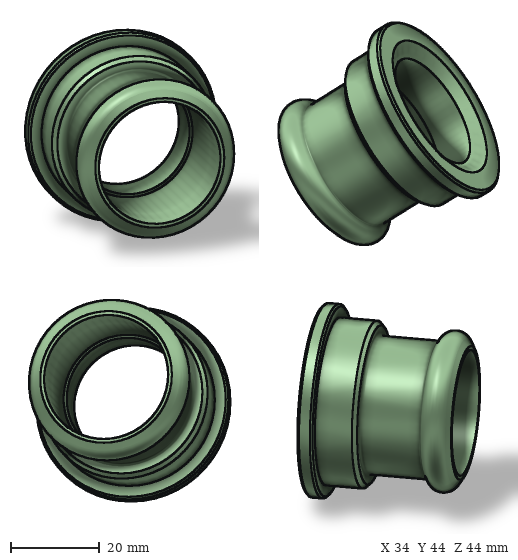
import cadquery as cq
import math

length = 34.0

flange_radius = 44.0 / 2
flange_thickness = 3.5
flange_chamfer = 0.5

collar_radius = 38.0 / 2
collar_end = 13.0
collar_chamfer = 1.0
collar_root_fillet = 0.75

tube_radius = 31.4 / 2

bead_center_x = 30.3
bead_center_radius = 15.2
bead_arc_radius = 3.15
bead_root_fillet = 0.5
bead_cone_angle = math.radians(30)

bore_radius = 27.0 / 2
lead_in_radius = 34.0 / 2
lead_in_angle = math.radians(30)
lead_in_depth = (lead_in_radius - bore_radius) * math.tan(lead_in_angle)
socket_radius = 28.4 / 2
socket_start = 11.0


def bead_point(angle):
    """Point on the bead arc, with the angle measured from +X."""
    return (
        bead_center_x + bead_arc_radius * math.cos(angle),
        bead_center_radius + bead_arc_radius * math.sin(angle),
    )


def make_outer_body():
    inner_cone_top = bead_point(math.pi - bead_cone_angle)
    inner_cone_run = (inner_cone_top[1] - tube_radius) * math.tan(bead_cone_angle)
    corner_x = inner_cone_top[0] - inner_cone_run

    fillet_turn = math.pi / 2 - bead_cone_angle
    fillet_setback = bead_root_fillet * math.tan(fillet_turn / 2)
    fillet_center_x = corner_x - fillet_setback
    fillet_center_radius = tube_radius + bead_root_fillet

    def root_fillet_point(turn):
        """Point on the root fillet after turning away from the tube by the given angle."""
        return (
            fillet_center_x + bead_root_fillet * math.sin(turn),
            fillet_center_radius - bead_root_fillet * math.cos(turn),
        )

    outer_cone_top = bead_point(bead_cone_angle)
    outer_cone_drop = (length - outer_cone_top[0]) / math.tan(bead_cone_angle)
    end_face_radius = outer_cone_top[1] - outer_cone_drop

    root_center_x = collar_end + collar_root_fillet
    root_center_radius = tube_radius + collar_root_fillet
    root_mid_offset = collar_root_fillet * math.sqrt(0.5)
    root_mid = (root_center_x - root_mid_offset, root_center_radius - root_mid_offset)

    return (
        cq.Workplane("XY")
        .moveTo(0, 0)
        .lineTo(0, flange_radius - flange_chamfer)
        .lineTo(flange_chamfer, flange_radius)
        .lineTo(flange_thickness - flange_chamfer, flange_radius)
        .lineTo(flange_thickness, flange_radius - flange_chamfer)
        .lineTo(flange_thickness, collar_radius)
        .lineTo(collar_end - collar_chamfer, collar_radius)
        .lineTo(collar_end, collar_radius - collar_chamfer)
        .lineTo(collar_end, root_center_radius)
        .threePointArc(root_mid, (root_center_x, tube_radius))
        .lineTo(fillet_center_x, tube_radius)
        .threePointArc(root_fillet_point(fillet_turn / 2), root_fillet_point(fillet_turn))
        .lineTo(*inner_cone_top)
        .threePointArc(bead_point(math.pi / 2), outer_cone_top)
        .lineTo(length, end_face_radius)
        .lineTo(length, 0)
        .close()
        .revolve(360, (0, 0, 0), (1, 0, 0))
    )


def make_inner_cavity():
    return (
        cq.Workplane("XY")
        .moveTo(0, 0)
        .lineTo(0, lead_in_radius)
        .lineTo(lead_in_depth, bore_radius)
        .lineTo(socket_start, bore_radius)
        .lineTo(socket_start, socket_radius)
        .lineTo(length, socket_radius)
        .lineTo(length, 0)
        .close()
        .revolve(360, (0, 0, 0), (1, 0, 0))
    )


result = make_outer_body().cut(make_inner_cavity())